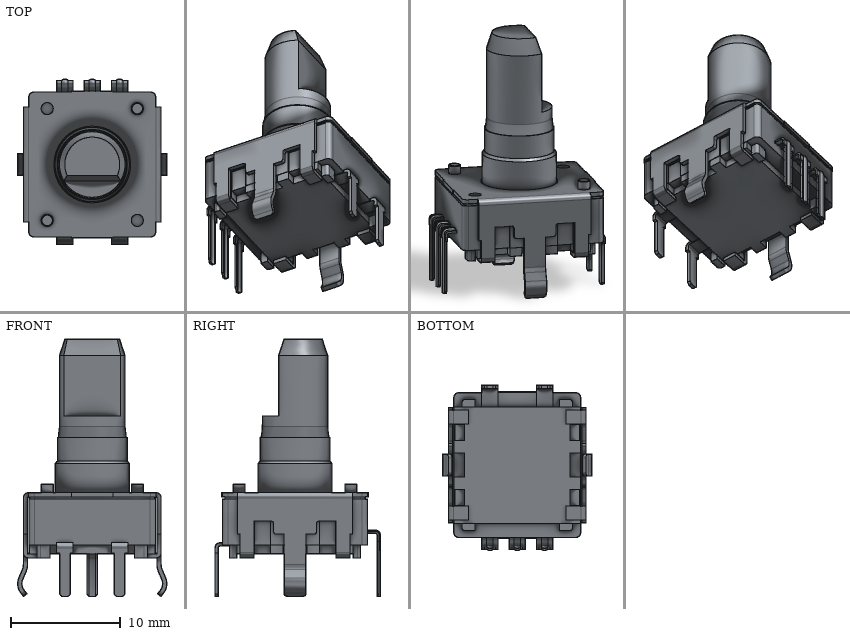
import cadquery as cq
import math


TOTAL_HEIGHT = 23.5
SHAFT_TOP = 14.0
PIN_BOTTOM = SHAFT_TOP - TOTAL_HEIGHT

SHEET = 0.4
BEND_RADIUS = 0.5
WALL_X = 6.3
PLATE_X = WALL_X - BEND_RADIUS
PLATE_Y = 6.63
PLATE_LIP_X = 1.9
PLATE_LIP_Y = 6.7
COLLAR_HOLE_DIAMETER = 7.0
WALL_HALF_Y = 5.26
WALL_BOTTOM = -3.8
FOOT_BOTTOM = -6.0
FOOT_INNER_X = 4.46
LEG_INNER_Y = 3.74
LEG_OUTER_Y = 5.03
WINDOW_TOP = -2.6
WINDOW_INNER_Y = 1.95
WINDOW_FILLET = 0.24

CLIP_WIDTH = 2.0
CLIP_REACH_X = 6.82
CLIP_FLARE = 23.0
CLIP_TIP = 38.0
CLIP_KNEE_RADIUS = 1.15
CLIP_BELLY_RADIUS = 1.39
CLIP_TIP_LENGTH = 0.4
CLIP_CORNER_FILLET = 0.33

HOUSING_X = 5.78
HOUSING_Y = 6.63
HOUSING_CORNER = 0.5
SHOULDER_Z = -0.6
NECK_X = 5.69
NECK_Y = 6.42
NECK_CORNER = 0.45
BASE_X = 5.75
HOUSING_BOTTOM = -4.8
BASE_BOTTOM = FOOT_BOTTOM + SHEET
BASE_Y = 5.3
NOTCH_DEPTH = 0.95
CLIP_NOTCH_HALF_Y = 1.1
POCKET_INNER_Y = 2.23
POCKET_OUTER_Y = 3.7
POCKET_DEPTH = 0.12
STANDOFF_INNER_X = 3.85
STANDOFF_OUTER_X = 5.05
STANDOFF_OUTER_Y = 6.0
STANDOFF_FILLET = 0.3

POST_X = 4.11
POST_Y = 5.1
POST_DIAMETER = 1.1
POST_TOP = 0.8
POST_CHAMFER = 0.07

BUSHING_DIAMETER = 6.8
BUSHING_NECK_DIAMETER = 6.4
BUSHING_CHAMFER_BOTTOM = 2.63
BUSHING_CHAMFER_TOP = 2.9
BUSHING_TOP = 5.0
SHAFT_DIAMETER = 6.0
SHAFT_ROOT_DIAMETER = 6.23
SHAFT_ROOT_TOP = 6.05
SHAFT_TAPER_BOTTOM = 12.5
SHAFT_TAPER = 0.5
FLAT_BOTTOM = 7.0
FLAT_Y = -1.5

PIN_PITCH = 2.5
PIN_HEAD_WIDTH = 1.5
PIN_BLADE_WIDTH = 0.99
PIN_HEAD_DROP = 0.95
PIN_TIP_CHAMFER = 0.2
FRONT_PIN_SHEET = 0.3
FRONT_PIN_Y = 7.3
FRONT_PIN_TOP = -4.58
FRONT_PIN_BEND = 0.47
BACK_PIN_SHEET = 0.19
BACK_PIN_RIB_WIDTH = 0.59
BACK_PIN_RIB_RISE = 0.12
BACK_PIN_Y = 7.8 - BACK_PIN_RIB_RISE
BACK_PIN_TOP = -3.55
BACK_PIN_BEND = 0.35


def block(x0, x1, y0, y1, z0, z1):
    """Axis-aligned box between two corners."""
    return cq.Workplane("XY").box(x1 - x0, y1 - y0, z1 - z0, centered=False).translate((x0, y0, z0))


def mirrored(shape, planes):
    """The shape united with its mirror image in each plane in turn."""
    for plane in planes:
        shape = shape.union(shape.mirror(plane))
    return shape


def bent_strip(start, heading, moves, thickness, width):
    """Bent sheet strip in the XZ plane, centred on Y = 0.

    The path follows one face of the sheet and the sheet lies to its right. A move is
    ("straight", length) or ("bend", path radius, turn in degrees); right turns are positive.
    """
    x, z = start
    angle = math.radians(heading)
    path_side = []
    far_side = []

    def right_of(px, pz, direction, distance):
        return (px + distance * math.sin(direction), pz - distance * math.cos(direction))

    for move in moves:
        far_start = right_of(x, z, angle, thickness)
        if move[0] == "straight":
            x += move[1] * math.cos(angle)
            z += move[1] * math.sin(angle)
            path_side.append(((x, z),))
            far_side.append((far_start,))
            continue
        radius, turn = move[1], math.radians(move[2])
        signed = math.copysign(radius, turn)
        centre = right_of(x, z, angle, signed)
        middle = angle - turn / 2
        angle -= turn
        path_mid = right_of(*centre, middle, -signed)
        far_mid = right_of(*centre, middle, thickness - signed)
        x, z = right_of(*centre, angle, -signed)
        path_side.append((path_mid, (x, z)))
        far_side.append((far_mid, far_start))

    outline = cq.Workplane("XZ").moveTo(*start)
    for points in path_side + [(right_of(x, z, angle, thickness),)] + far_side[::-1]:
        outline = outline.lineTo(*points[0]) if len(points) == 1 else outline.threePointArc(*points)
    return outline.close().extrude(width / 2, both=True)


def cover_leg_walls():
    """+X side wall bent down from the plate, with feet bent in under the housing."""
    wall_height = -FOOT_BOTTOM - 2 * BEND_RADIUS
    foot_length = PLATE_X - FOOT_INNER_X
    moves = [
        ("bend", BEND_RADIUS, 90),
        ("straight", wall_height),
        ("bend", BEND_RADIUS, 90),
        ("straight", foot_length),
    ]
    wall = bent_strip((PLATE_X, 0), 0, moves, SHEET, 2 * WALL_HALF_Y)
    x0, x1, low = FOOT_INNER_X, WALL_X, FOOT_BOTTOM
    window = block(x0, x1, WINDOW_INNER_Y, LEG_INNER_Y, low, WINDOW_TOP)
    below_wall = block(x0, x1, 0, LEG_INNER_Y, low, WALL_BOTTOM)
    corner = block(x0, x1, LEG_OUTER_Y, WALL_HALF_Y, low, WALL_BOTTOM)
    opening = window.union(below_wall)
    margin = WINDOW_FILLET / 2
    inner_edge = cq.selectors.BoxSelector(
        (x0, WINDOW_INNER_Y - margin, WALL_BOTTOM - margin),
        (x1, WINDOW_INNER_Y + margin, WINDOW_TOP + margin),
    )
    opening = opening.edges("|X").edges(inner_edge).fillet(WINDOW_FILLET)
    return wall.cut(mirrored(opening.union(corner), ["XZ"]))


def cover_clip():
    """+X snap clip below the side wall: flares outwards, then turns back in."""
    flare = math.radians(CLIP_FLARE)
    tip = math.radians(CLIP_TIP)
    bends_reach = (CLIP_KNEE_RADIUS + CLIP_BELLY_RADIUS) * (1 - math.cos(flare))
    flare_length = (CLIP_REACH_X - WALL_X - bends_reach) / math.sin(flare)
    shaped_height = (
        CLIP_KNEE_RADIUS * math.sin(flare)
        + flare_length * math.cos(flare)
        + CLIP_BELLY_RADIUS * (math.sin(flare) + math.sin(tip))
        + CLIP_TIP_LENGTH * math.cos(tip)
    )
    moves = [
        ("straight", WALL_BOTTOM - PIN_BOTTOM - shaped_height),
        ("bend", CLIP_KNEE_RADIUS, -CLIP_FLARE),
        ("straight", flare_length),
        ("bend", CLIP_BELLY_RADIUS, CLIP_FLARE + CLIP_TIP),
        ("straight", CLIP_TIP_LENGTH),
    ]
    clip = bent_strip((WALL_X, WALL_BOTTOM), -90, moves, SHEET, CLIP_WIDTH)
    tip_direction = cq.Vector(-math.sin(tip), 0, -math.cos(tip))
    tip_face = clip.faces(cq.selectors.DirectionMinMaxSelector(tip_direction, True))
    return clip.newObject(tip_face.vals()).edges("not |Y").fillet(CLIP_CORNER_FILLET)


def make_cover():
    """Top plate with its two bent side walls, feet and snap clips."""
    plate = block(-PLATE_X, PLATE_X, -PLATE_Y, PLATE_Y, -SHEET, 0).edges("|Z").fillet(BEND_RADIUS)
    lip = block(-PLATE_LIP_X, PLATE_LIP_X, -PLATE_LIP_Y, PLATE_LIP_Y, -SHEET, 0)
    side = cover_leg_walls().union(cover_clip())
    cover = plate.union(lip).union(mirrored(side, ["YZ"]))
    cover = cover.cut(cq.Workplane("XY").circle(COLLAR_HOLE_DIAMETER / 2).extrude(-SHEET))
    holes = cq.Workplane("XY").rect(2 * POST_X, 2 * POST_Y, forConstruction=True).vertices()
    return cover.cut(holes.circle(POST_DIAMETER / 2).extrude(-SHEET))


def make_housing(pins):
    """Moulded body with base, standoffs and posts, slotted where the terminal pins enter."""
    x, y = HOUSING_X, HOUSING_Y
    body = block(-x, x, -y, y, HOUSING_BOTTOM, -SHEET).edges("|Z").fillet(HOUSING_CORNER)
    neck = block(-NECK_X, NECK_X, -NECK_Y, NECK_Y, SHOULDER_Z, -SHEET).edges("|Z").fillet(NECK_CORNER)
    end_zone = block(-x, x, WALL_HALF_Y, y, SHOULDER_Z, -SHEET)
    body = body.cut(mirrored(end_zone, ["XZ"]).cut(neck))

    base = block(-BASE_X, BASE_X, -BASE_Y, BASE_Y, BASE_BOTTOM, HOUSING_BOTTOM)
    notch_x = BASE_X - NOTCH_DEPTH
    clip_notch = block(notch_x, BASE_X, 0, CLIP_NOTCH_HALF_Y, BASE_BOTTOM, HOUSING_BOTTOM)
    window_notch = block(notch_x, BASE_X, POCKET_INNER_Y, POCKET_OUTER_Y, BASE_BOTTOM, HOUSING_BOTTOM)
    base = base.cut(mirrored(clip_notch.union(window_notch), ["XZ", "YZ"]))
    pocket = block(x - POCKET_DEPTH, x, POCKET_INNER_Y, POCKET_OUTER_Y, HOUSING_BOTTOM, WINDOW_TOP)
    body = body.cut(mirrored(pocket, ["XZ", "YZ"]))

    standoff = block(
        STANDOFF_INNER_X, STANDOFF_OUTER_X, BASE_Y, STANDOFF_OUTER_Y, FOOT_BOTTOM, HOUSING_BOTTOM
    )
    standoff = standoff.edges("|Z and >X and >Y").fillet(STANDOFF_FILLET)

    posts = cq.Workplane("XY", origin=(0, 0, -SHEET)).pushPoints([(POST_X, POST_Y), (-POST_X, -POST_Y)])
    posts = posts.circle(POST_DIAMETER / 2).extrude(SHEET + POST_TOP).faces(">Z").chamfer(POST_CHAMFER)

    housing = body.union(base).union(mirrored(standoff, ["XZ", "YZ"])).union(posts)
    for pin in pins:
        housing = housing.cut(pin)
    return housing


def make_bushing():
    """Stepped collar standing on the housing, inside the cover's round hole."""
    radius = BUSHING_DIAMETER / 2
    neck_radius = BUSHING_NECK_DIAMETER / 2
    half_section = [
        (0, -SHEET),
        (radius, -SHEET),
        (radius, BUSHING_CHAMFER_BOTTOM),
        (neck_radius, BUSHING_CHAMFER_TOP),
        (neck_radius, BUSHING_TOP),
        (0, BUSHING_TOP),
    ]
    return cq.Workplane("XZ").polyline(half_section).close().revolve(360, (0, 0), (0, 1))


def make_shaft():
    """D-shaped shaft on top of the bushing."""
    radius = SHAFT_DIAMETER / 2
    half_section = [
        (0, BUSHING_TOP),
        (SHAFT_ROOT_DIAMETER / 2, BUSHING_TOP),
        (radius, SHAFT_ROOT_TOP),
        (radius, SHAFT_TAPER_BOTTOM),
        (radius - SHAFT_TAPER, SHAFT_TOP),
        (0, SHAFT_TOP),
    ]
    shaft = cq.Workplane("XZ").polyline(half_section).close().revolve(360, (0, 0), (0, 1))
    flat_section = [
        (-radius, FLAT_BOTTOM),
        (FLAT_Y, FLAT_BOTTOM),
        (FLAT_Y, SHAFT_TAPER_BOTTOM),
        (FLAT_Y + SHAFT_TAPER, SHAFT_TOP),
        (-radius, SHAFT_TOP),
    ]
    return shaft.cut(cq.Workplane("YZ").polyline(flat_section).close().extrude(radius, both=True))


def make_pin(sheet, outer_y, top, bend_radius, rib_rise=0.0):
    """Terminal at X = 0 leaving the housing towards +Y and bent down, with an optional pressed rib."""
    path = (
        cq.Workplane("YZ")
        .moveTo(BASE_Y, top)
        .lineTo(outer_y - bend_radius, top)
        .radiusArc((outer_y, top - bend_radius), bend_radius)
        .lineTo(outer_y, PIN_BOTTOM)
    )
    head = PIN_HEAD_WIDTH / 2
    rib = BACK_PIN_RIB_WIDTH / 2
    under = top - sheet
    section = cq.Workplane("XZ", origin=(0, BASE_Y, 0)).moveTo(-head, top)
    if rib_rise:
        section = section.lineTo(-rib, top).threePointArc((0, top + rib_rise), (rib, top))
    section = section.lineTo(head, top).lineTo(head, under)
    if rib_rise:
        section = section.lineTo(rib, under).threePointArc((0, under + rib_rise), (-rib, under))
    strip = section.lineTo(-head, under).close().sweep(path)

    blade = PIN_BLADE_WIDTH / 2
    head_bottom = top - PIN_HEAD_DROP
    half_outline = [
        (head, top + rib_rise),
        (head, head_bottom),
        (blade, head_bottom),
        (blade, PIN_BOTTOM + PIN_TIP_CHAMFER),
        (blade - PIN_TIP_CHAMFER, PIN_BOTTOM),
    ]
    outline = half_outline + [(-x, z) for x, z in reversed(half_outline)]
    reach = outer_y + rib_rise
    return strip.intersect(cq.Workplane("XZ").polyline(outline).close().extrude(-reach))


def make_pins():
    """Three ribbed terminals at the back and two plain ones at the front."""
    pins = []
    for position in (-1, 0, 1):
        pin = make_pin(BACK_PIN_SHEET, BACK_PIN_Y, BACK_PIN_TOP, BACK_PIN_BEND, BACK_PIN_RIB_RISE)
        pins.append(pin.translate((position * PIN_PITCH, 0, 0)))
    for position in (-1, 1):
        pin = make_pin(FRONT_PIN_SHEET, FRONT_PIN_Y, FRONT_PIN_TOP, FRONT_PIN_BEND)
        pins.append(pin.rotate((0, 0, 0), (0, 0, 1), 180).translate((position * PIN_PITCH, 0, 0)))
    return pins


pins = make_pins()
housing = make_housing(pins)
cover = make_cover()
bushing = make_bushing()
shaft = make_shaft()

bodies = [housing, cover, bushing, shaft, *pins]
result = cq.Compound.makeCompound([body.solids().val() for body in bodies])